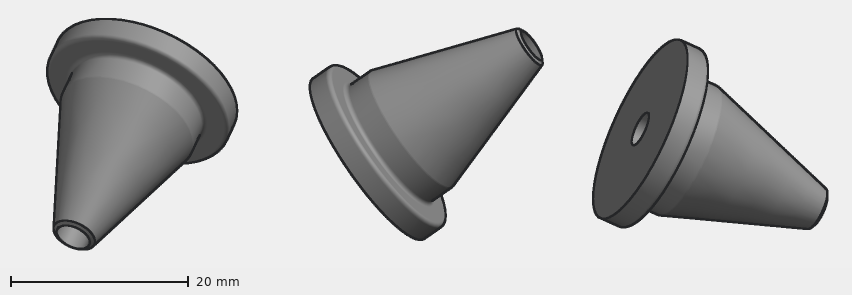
import cadquery as cq

length = 23.0
flange_diameter = 22.0
flange_radius = flange_diameter / 2
flange_thickness = 2.85
collar_radius = 8.0
collar_end = 6.07
cone_tip_radius = 2.5
bore_radius = 2.0

edge_round = 0.5
tip_bevel_depth = 0.3

half_section = (
    cq.Workplane("XY")
    .moveTo(bore_radius, 0)
    .lineTo(flange_radius, 0)
    .lineTo(flange_radius, -(flange_thickness - edge_round))
    .radiusArc((flange_radius - edge_round, -flange_thickness), edge_round)
    .lineTo(collar_radius + edge_round, -flange_thickness)
    .radiusArc((collar_radius, -(flange_thickness + edge_round)), -edge_round)
    .lineTo(collar_radius, -collar_end)
    .lineTo(cone_tip_radius, -(length - tip_bevel_depth))
    .lineTo(bore_radius, -length)
    .close()
)
body = half_section.revolve(360, (0, 0, 0), (0, 1, 0))

collar_corner = cq.selectors.BoxSelector(
    (-flange_radius, -collar_end - edge_round / 2, -flange_radius),
    (flange_radius, -collar_end + edge_round / 2, flange_radius),
)
result = body.edges(collar_corner).fillet(edge_round)